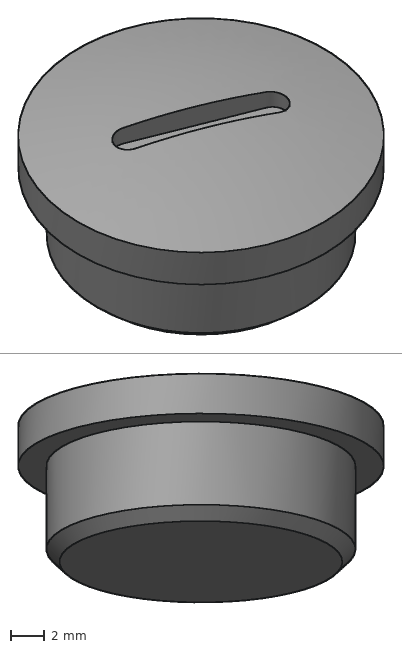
import cadquery as cq

head_diameter = 22.0
total_height = 9.97

shank_diameter = 18.6
shank_length = 6.0
shank_chamfer = 0.8

rim_height = 2.5
rim_top = shank_length + rim_height

slot_width = 2.07
slot_length = 11.3
slot_depth = 1.5


def make_shank():
    shank = cq.Workplane("XY").circle(shank_diameter / 2).extrude(shank_length)
    return shank.faces("<Z").edges().chamfer(shank_chamfer)


def make_head():
    """Revolve the rim and its dome about the Z axis."""
    head_radius = head_diameter / 2
    dome_height = total_height - rim_top
    dome_radius = (head_radius**2 + dome_height**2) / (2 * dome_height)
    mid_radius = head_radius / 2
    mid_height = total_height - dome_radius + (dome_radius**2 - mid_radius**2) ** 0.5
    return (
        cq.Workplane("XZ")
        .moveTo(0, shank_length)
        .lineTo(head_radius, shank_length)
        .lineTo(head_radius, rim_top)
        .threePointArc((mid_radius, mid_height), (0, total_height))
        .close()
        .revolve(360, (0, 0), (0, 1))
    )


def make_slot_cutter():
    """Round-ended slot with a flat floor."""
    return (
        cq.Workplane("XY", origin=(0, 0, total_height - slot_depth))
        .slot2D(slot_length, slot_width, 90)
        .extrude(slot_depth)
    )


result = make_shank().union(make_head()).cut(make_slot_cutter())